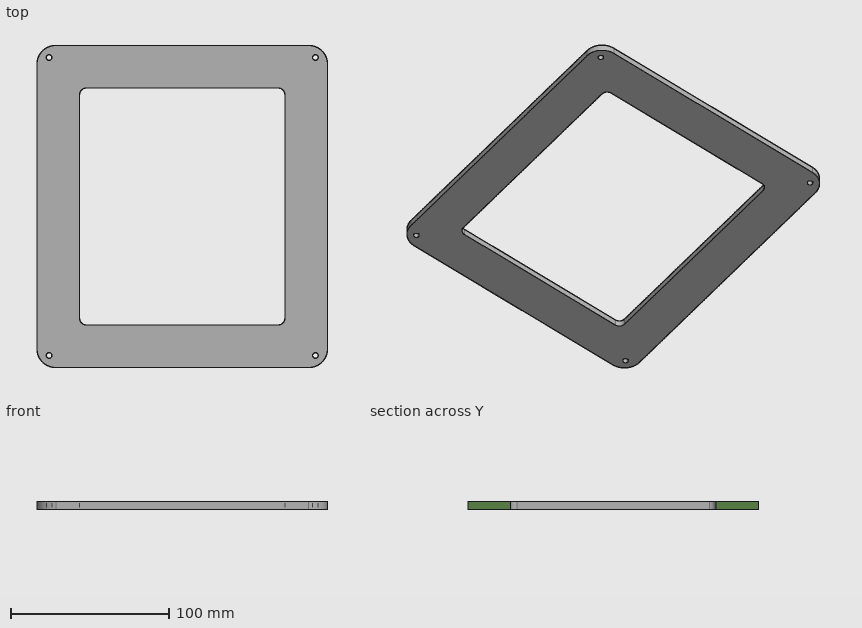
import cadquery as cq

width = 183.6
length = 203.5
thickness = 5.0
corner_radius = 12.0

border = 27.0
window_width = width - 2 * border
window_length = length - 2 * border
window_corner_radius = 4.0

hole_diameter = 3.5
hole_inset = 7.7


def rounded_block(size_x, size_y, radius):
    """Block of the plate's thickness with rounded vertical edges."""
    return cq.Workplane("XY").box(size_x, size_y, thickness).edges("|Z").fillet(radius)


plate = rounded_block(width, length, corner_radius)
window = rounded_block(window_width, window_length, window_corner_radius)

corner_holes = (
    cq.Workplane("XY")
    .rect(width - 2 * hole_inset, length - 2 * hole_inset, forConstruction=True)
    .vertices()
    .circle(hole_diameter / 2)
    .extrude(thickness / 2, both=True)
)

result = plate.cut(window).cut(corner_holes)